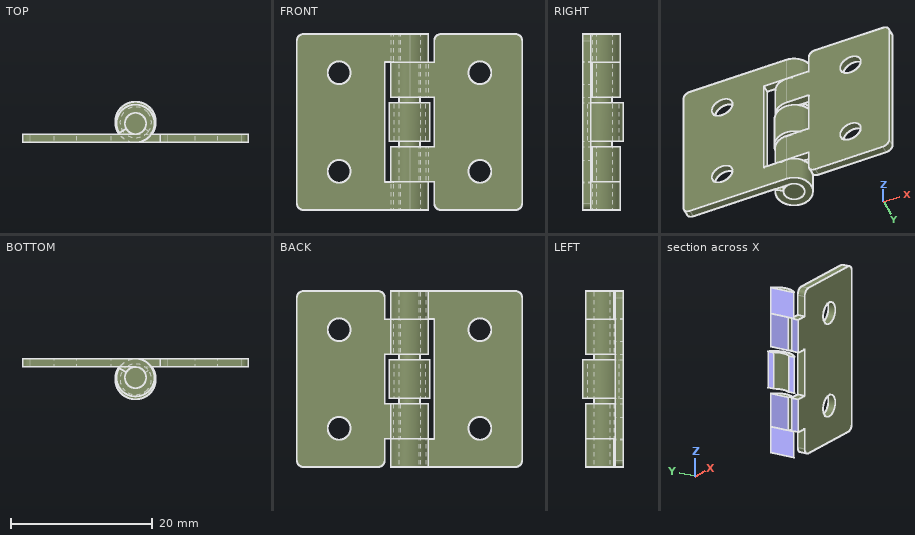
import cadquery as cq
import math

width = 32.0
height = 25.0
pin_diameter = 3.0
knuckle_diameter = 5.38
sleeve_diameter = 5.8
sleeve_bore_diameter = 4.4
end_knuckle_length = 4.0
inner_knuckle_length = 5.0
sleeve_length = 5.5
leaf_clearance = 3.5
curl_angle = 300.0
corner_radius = 1.0
hole_diameter = 3.2
hole_spacing_x = 19.97
hole_spacing_z = 14.0

half_width = width / 2
half_height = height / 2
pin_radius = pin_diameter / 2
knuckle_radius = knuckle_diameter / 2
sleeve_radius = sleeve_diameter / 2
thickness = knuckle_radius - pin_radius
axis_y = knuckle_radius
inner_knuckle_top = half_height - end_knuckle_length
inner_knuckle_bottom = inner_knuckle_top - inner_knuckle_length


def block(x_start, x_end, y_end, z_start, z_end):
    """Box between the given limits, with its front face at Y = 0."""
    size = (x_end - x_start, y_end, z_end - z_start)
    return cq.Workplane("XY").box(*size, centered=False).translate((x_start, 0, z_start))


def cylinder(radius, center_y, length):
    """Cylinder along Z, centred at X = 0 and Z = 0."""
    return cq.Workplane("XY", origin=(0, center_y, -length / 2)).circle(radius).extrude(length)


def curl_point(radius, angle):
    """Point around the pin axis, at an angle in degrees counted from the front of the pin."""
    turn = math.radians(angle)
    return (radius * math.sin(turn), axis_y - radius * math.cos(turn))


def rolled_strip(flat_end_x, z_start, z_end):
    """Flat strip from flat_end_x (negative) to the pin axis, then curled around the pin."""
    return (
        cq.Workplane("XY", origin=(0, 0, z_start))
        .moveTo(flat_end_x, 0)
        .lineTo(0, 0)
        .threePointArc(curl_point(knuckle_radius, curl_angle / 2), curl_point(knuckle_radius, curl_angle))
        .lineTo(*curl_point(pin_radius, curl_angle))
        .threePointArc(curl_point(pin_radius, curl_angle / 2), (0, thickness))
        .lineTo(flat_end_x, thickness)
        .close()
        .extrude(z_end - z_start)
    )


def leaf_plate():
    """Flat plate on the -X side with two screw holes."""
    plate = block(-half_width, -leaf_clearance, thickness, -half_height, half_height)
    holes = (
        cq.Workplane("XZ")
        .pushPoints([(-hole_spacing_x / 2, side * hole_spacing_z / 2) for side in (-1, 1)])
        .circle(hole_diameter / 2)
        .extrude(-thickness)
    )
    return plate.cut(holes)


def make_outer_leaf():
    """Leaf on the -X side, with a knuckle at each end of the pin."""
    leaf = leaf_plate().edges("|Y and <X").fillet(corner_radius)
    for z_start in (-half_height, inner_knuckle_top):
        leaf = leaf.union(rolled_strip(-leaf_clearance, z_start, z_start + end_knuckle_length))
    return leaf


def make_inner_leaf():
    """Leaf on the +X side, with two knuckles between those of the outer leaf."""
    leaf = leaf_plate().edges("|Y and (<X or >X)").fillet(corner_radius)
    for z_start in (-inner_knuckle_top, inner_knuckle_bottom):
        leaf = leaf.union(rolled_strip(-leaf_clearance, z_start, z_start + inner_knuckle_length))
    return leaf.mirror("YZ")


def make_pin():
    """Plain pin, flush with both ends of the outer leaf."""
    return cylinder(pin_radius, axis_y, height)


def make_sleeve():
    """Loose sleeve at mid height; it touches Y = 0, so its axis is slightly behind the pin axis."""
    bore = cylinder(sleeve_bore_diameter / 2, sleeve_radius, sleeve_length)
    return cylinder(sleeve_radius, sleeve_radius, sleeve_length).cut(bore)


outer_leaf = make_outer_leaf()
inner_leaf = make_inner_leaf()
pin = make_pin()
sleeve = make_sleeve()

bodies = [outer_leaf, inner_leaf, pin, sleeve]
result = cq.Compound.makeCompound([body.solids().val() for body in bodies])